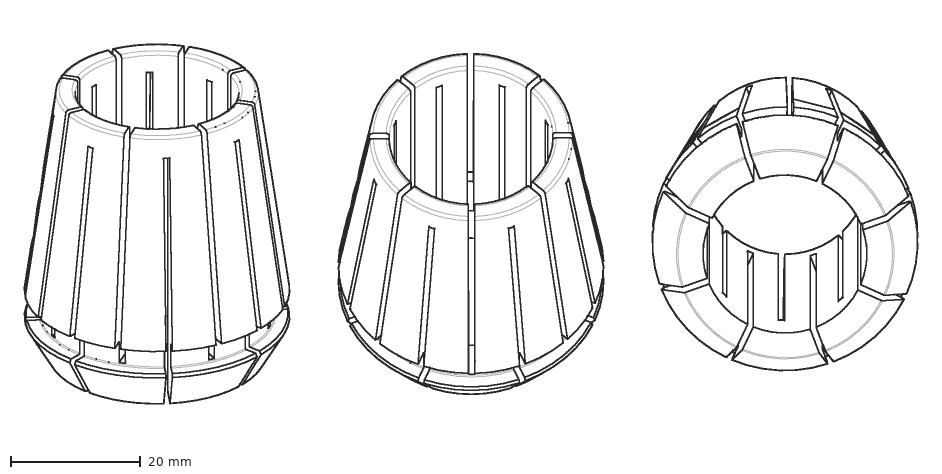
import cadquery as cq
import math

height = 46.0
outer_diameter = 41.0
outer_radius = outer_diameter / 2
bore_radius = 12.65

cone_bottom_z = 11.15
cone_half_angle = 8.0
cone_top_radius = outer_radius - (height - cone_bottom_z) * math.tan(math.radians(cone_half_angle))
top_edge_fillet = 0.5

neck_radius = 18.12
neck_fillet = 0.2
flange_top_z = 7.1
flange_rim_z = 6.55
flange_rim_bevel = 0.28
flange_half_angle = 30.0
flange_bottom_radius = outer_radius - flange_rim_z * math.tan(math.radians(flange_half_angle))
bottom_edge_fillet = 0.28

length_tolerance = 0.0005

slot_count = 8
slot_pitch = 360.0 / slot_count
slot_width = 0.95
bottom_slot_end_z = 42.45
top_slot_end_z = 7.5


def circular_edges(body, radius):
    """All round edges of the body that have the given radius."""
    round_edges = body.edges("%CIRCLE").vals()
    return [edge for edge in round_edges if math.isclose(edge.radius(), radius, abs_tol=length_tolerance)]


def collet_body():
    """Revolved ring with the bore, neck groove and flange, with its corners rounded."""
    half_section = [
        (bore_radius, 0),
        (flange_bottom_radius, 0),
        (outer_radius, flange_rim_z),
        (outer_radius - flange_rim_bevel, flange_top_z),
        (neck_radius, flange_top_z),
        (neck_radius, cone_bottom_z),
        (outer_radius, cone_bottom_z),
        (cone_top_radius, height),
        (bore_radius, height),
    ]
    ring = cq.Workplane("XZ").polyline(half_section).close().revolve(360, (0, 0, 0), (0, 1, 0))
    ring = ring.faces(">Z").edges().fillet(top_edge_fillet)
    ring = ring.newObject(circular_edges(ring, neck_radius)).fillet(neck_fillet)
    return ring.newObject(circular_edges(ring, flange_bottom_radius)).fillet(bottom_edge_fillet)


def radial_slots(bottom_z, top_z, first_angle):
    """Ring of cutters that each run from the axis out past the rim."""
    cutters = cq.Workplane("XY")
    for index in range(slot_count):
        blade = cq.Workplane("XY", origin=(0, 0, bottom_z))
        blade = blade.box(outer_diameter, slot_width, top_z - bottom_z, centered=(False, True, False))
        cutters = cutters.add(blade.rotate((0, 0, 0), (0, 0, 1), first_angle + index * slot_pitch))
    return cutters.combine()


bottom_slots = radial_slots(0, bottom_slot_end_z, 0)
top_slots = radial_slots(top_slot_end_z, height, slot_pitch / 2)

result = collet_body().cut(bottom_slots).cut(top_slots)